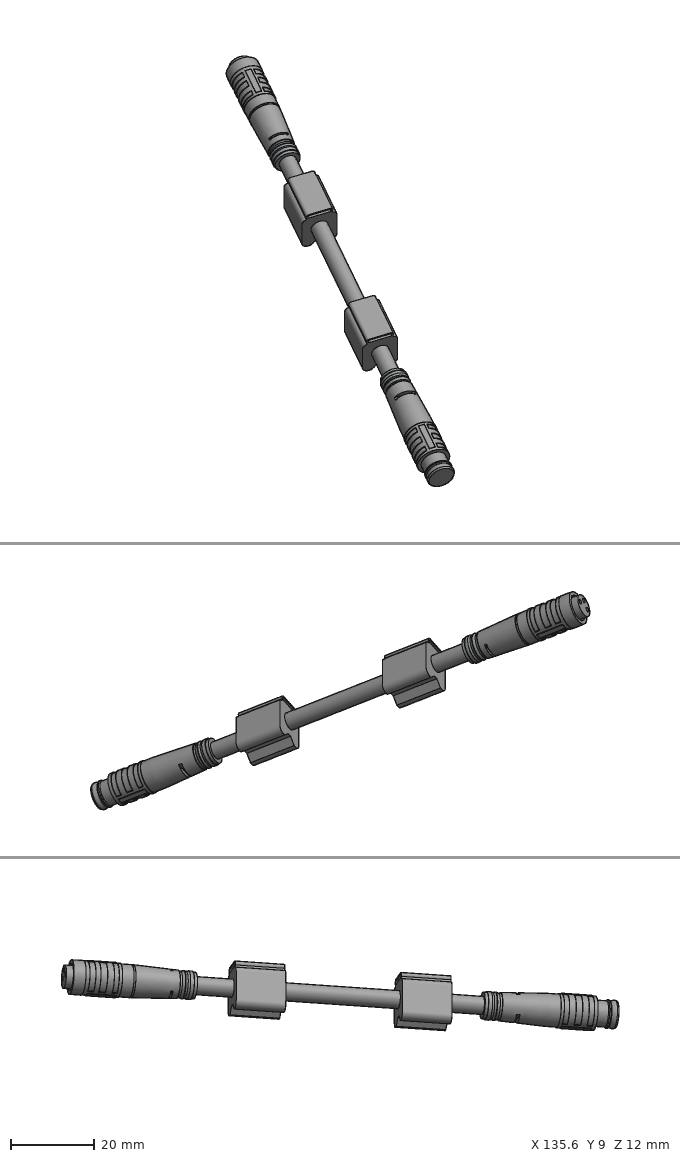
import cadquery as cq
import math

LENGTH = 135.6
OVERLAP = 0.5

CABLE_DIA = 4.4
CLIP_LENGTH = 12.2
CLIP_SPACING = 40.8
CLIP_CENTRES = [(LENGTH - CLIP_SPACING) / 2, (LENGTH + CLIP_SPACING) / 2]
CLIP_WIDTH = 9.0
CLIP_TOP = 6.0
CLIP_BOTTOM = -5.99
SHOULDER_Z = 4.25
SHOULDER_RADIUS = 1.3
FOOT_RADIUS = 1.6
STRAP_WIDTH = 6.9
STRAP_THICKNESS = 0.4
STRAP_RADIUS = 0.8
STRAP_UNDERCUT_ANGLE = 30
WINDOW_FLOOR_Z = 4.7
V_DEPTH = 1.7
V_TOP_WIDTH = 1.1

GRIP_DIA = 8.3
BODY_DIA = 8.0
TAPER_END_DIA = 6.9
NECK_DIA = 6.4
RELIEF_DIA = 6.9

RELIEF_LENGTH = 4.25
RELIEF_TAIL = 0.8
RELIEF_GROOVE = (1.75, 2.85)
RELIEF_GROOVE_DIA = 6.5
RELIEF_BEVEL = (3.0, 3.7)

PAD_WIDTH = 1.5
PAD_HEIGHT = 4.25
GRIP_GROOVE_DIA = 7.9
GROOVE_END_Y = 1.45
NOTCH_FLOOR = 2.55

SOCKET_NOSE_DIA = 5.65
SOCKET_BORE_DIA = 6.47
SOCKET_BORE_DEPTH = 2.0
SOCKET_COLLAR_X = 1.6
SOCKET_BAND_X = 2.85
SOCKET_BAND_DIA = 8.4
SOCKET_GRIP = (4.5, 13.5)
SOCKET_GRIP_GROOVES = [(5.5, 6.95), (8.2, 9.85), (11.5, 12.7)]
SOCKET_SEAM = (16.35, 16.8)
SOCKET_SEAM_DIA = 7.8
SOCKET_NOTCH = (25.75, 26.25)
SOCKET_END_X = 32.1
CONTACT_DIA = 1.1
CONTACT_DEPTH = 3.0
CONTACT_RADIUS = 1.65
CONTACT_ANGLES = [0, 90, 180]

PLUG_START_X = 102.75
PLUG_NOTCH = (110.6, 111.4)
PLUG_TAPER_END_X = 118.35
PLUG_GRIP = (121.2, 130.25)
PLUG_GRIP_GROOVES = [(122.0, 123.25), (124.9, 126.5), (128.1, 129.4)]
PLUG_NOSE_DIA = 6.4
PLUG_LIP_DIA = 6.9
PLUG_LIP = (133.0, 133.85)
PLUG_LIP_BEVEL = 0.25
PLUG_TIP_RAMP = (133.85, 134.7)
PLUG_TIP_END_X = 135.15


def box(x_range, y_range, z_range):
    """Box spanning the given ranges."""
    size = [r[1] - r[0] for r in (x_range, y_range, z_range)]
    corner = (x_range[0], y_range[0], z_range[0])
    return cq.Workplane("XY").box(*size, centered=False).translate(corner)


def rod(x_range, diameter):
    """Cylinder on the cable axis."""
    disc = cq.Workplane("YZ", origin=(x_range[0], 0, 0)).circle(diameter / 2)
    return disc.extrude(x_range[1] - x_range[0])


def tube(x_range, outer_dia, inner_dia):
    """Ring on the cable axis."""
    return rod(x_range, outer_dia).cut(rod(x_range, inner_dia))


def spin(profile):
    """Revolve a closed outline of (x, radius) points about the cable axis."""
    return cq.Workplane("XY").polyline(profile).close().revolve(360, (0, 0, 0), (1, 0, 0))


def cone(x_range, start_dia, end_dia):
    """Truncated cone on the cable axis."""
    start_x, end_x = x_range
    return spin([(start_x, 0), (start_x, start_dia / 2), (end_x, end_dia / 2), (end_x, 0)])


def make_clip(centre_x):
    """Label clip: block with rounded edges, V-notched underside and a label window on top."""
    x_range = (centre_x - CLIP_LENGTH / 2, centre_x + CLIP_LENGTH / 2)
    half_width = CLIP_WIDTH / 2
    half_flat = STRAP_WIDTH / 2 - STRAP_RADIUS
    half_neck = half_flat + STRAP_RADIUS * math.cos(math.radians(STRAP_UNDERCUT_ANGLE))
    half_window = half_neck - STRAP_THICKNESS

    block = box(x_range, (-half_width, half_width), (CLIP_BOTTOM, SHOULDER_Z))
    block = block.edges("|X and >Z").fillet(SHOULDER_RADIUS)
    block = block.edges("|X and <Z").fillet(FOOT_RADIUS)

    strap_mid_z = CLIP_TOP - STRAP_RADIUS
    neck_z = strap_mid_z - STRAP_RADIUS * math.sin(math.radians(STRAP_UNDERCUT_ANGLE))
    root_z = SHOULDER_Z - OVERLAP
    clip_plane = cq.Workplane("YZ", origin=(x_range[0], 0, 0))
    strap = (
        clip_plane.moveTo(-half_flat, CLIP_TOP)
        .lineTo(half_flat, CLIP_TOP)
        .threePointArc((half_flat + STRAP_RADIUS, strap_mid_z), (half_neck, neck_z))
        .lineTo(half_neck, root_z)
        .lineTo(-half_neck, root_z)
        .lineTo(-half_neck, neck_z)
        .threePointArc((-half_flat - STRAP_RADIUS, strap_mid_z), (-half_flat, CLIP_TOP))
        .close()
        .extrude(CLIP_LENGTH)
    )
    window_top = CLIP_TOP - STRAP_THICKNESS
    window = box(x_range, (-half_window, half_window), (WINDOW_FLOOR_Z, window_top))
    window = window.edges("|X and >Z").fillet(STRAP_RADIUS - STRAP_THICKNESS)

    half_v_top = V_TOP_WIDTH / 2
    half_v_bottom = half_v_top + V_DEPTH
    v_outline = [
        (-half_v_bottom, CLIP_BOTTOM),
        (-half_v_top, CLIP_BOTTOM + V_DEPTH),
        (half_v_top, CLIP_BOTTOM + V_DEPTH),
        (half_v_bottom, CLIP_BOTTOM),
    ]
    v_notch = clip_plane.polyline(v_outline).close().extrude(CLIP_LENGTH)
    return block.union(strap).cut(window).cut(v_notch)


def make_grip(x_range, grooves):
    """Grip sleeve with side grooves and a flat pad on its top and bottom."""
    grip = rod(x_range, GRIP_DIA)
    for groove in grooves:
        bridge = box(groove, (-GROOVE_END_Y, GROOVE_END_Y), (-GRIP_DIA, GRIP_DIA))
        grip = grip.cut(tube(groove, GRIP_DIA + OVERLAP, GRIP_GROOVE_DIA).cut(bridge))
    pad_x = (grooves[0][0], grooves[-1][1])
    pad = box(pad_x, (-PAD_WIDTH / 2, PAD_WIDTH / 2), (-PAD_HEIGHT, PAD_HEIGHT))
    return grip.union(pad)


def make_relief(end_x, direction):
    """Grooved strain relief; direction (+1 or -1) points from the cable into the connector."""
    groove_middle = sum(RELIEF_GROOVE) / 2
    profile = [
        (0, 0),
        (0, NECK_DIA / 2),
        (RELIEF_TAIL, NECK_DIA / 2),
        (RELIEF_TAIL, RELIEF_DIA / 2),
        (RELIEF_GROOVE[0], RELIEF_DIA / 2),
        (groove_middle, RELIEF_GROOVE_DIA / 2),
        (RELIEF_GROOVE[1], RELIEF_DIA / 2),
        (RELIEF_BEVEL[0], RELIEF_DIA / 2),
        (RELIEF_BEVEL[1], NECK_DIA / 2),
        (RELIEF_LENGTH + OVERLAP, NECK_DIA / 2),
        (RELIEF_LENGTH + OVERLAP, 0),
    ]
    return spin([(end_x + direction * depth, radius) for depth, radius in profile])


def cut_notches(body, x_range):
    """Cut a flat-bottomed notch across the top and the bottom of a connector body."""
    for z_range in ((NOTCH_FLOOR, BODY_DIA), (-BODY_DIA, -NOTCH_FLOOR)):
        body = body.cut(box(x_range, (-BODY_DIA, BODY_DIA), z_range))
    return body


def make_socket():
    """Socket connector with three contact holes in its nose."""
    nose = rod((0, SOCKET_GRIP[0] + OVERLAP), SOCKET_NOSE_DIA)
    for angle in CONTACT_ANGLES:
        y = CONTACT_RADIUS * math.cos(math.radians(angle))
        z = CONTACT_RADIUS * math.sin(math.radians(angle))
        hole = cq.Workplane("YZ").center(y, z).circle(CONTACT_DIA / 2).extrude(CONTACT_DEPTH)
        nose = nose.cut(hole)

    collar = cone((SOCKET_COLLAR_X, SOCKET_BAND_X), GRIP_DIA, SOCKET_BAND_DIA)
    collar = collar.union(rod((SOCKET_BAND_X, SOCKET_GRIP[0]), SOCKET_BAND_DIA))
    bore_x = (SOCKET_COLLAR_X, SOCKET_COLLAR_X + SOCKET_BORE_DEPTH)
    collar = collar.cut(rod(bore_x, SOCKET_BORE_DIA))

    taper_end_x = SOCKET_END_X - RELIEF_LENGTH
    body = rod((SOCKET_GRIP[1], SOCKET_SEAM[1]), BODY_DIA)
    body = body.cut(tube(SOCKET_SEAM, BODY_DIA + OVERLAP, SOCKET_SEAM_DIA))
    taper = cone((SOCKET_SEAM[1], taper_end_x), BODY_DIA, TAPER_END_DIA)
    body = cut_notches(body.union(taper), SOCKET_NOTCH)

    grip = make_grip(SOCKET_GRIP, SOCKET_GRIP_GROOVES)
    relief = make_relief(SOCKET_END_X, -1)
    return collar.union(grip).union(nose).union(body).union(relief)


def make_plug():
    """Plug connector with a snap lip and a ramped tip on its nose."""
    taper_x = (PLUG_START_X + RELIEF_LENGTH, PLUG_TAPER_END_X)
    body = cone(taper_x, TAPER_END_DIA, BODY_DIA)
    body = body.union(rod((PLUG_TAPER_END_X, PLUG_GRIP[0]), BODY_DIA))
    body = cut_notches(body, PLUG_NOTCH)

    nose = rod((PLUG_GRIP[1] - OVERLAP, LENGTH), PLUG_NOSE_DIA)
    lip = rod(PLUG_LIP, PLUG_LIP_DIA).faces("<X or >X").edges().chamfer(PLUG_LIP_BEVEL)
    ramp = cone(PLUG_TIP_RAMP, PLUG_NOSE_DIA, PLUG_LIP_DIA)
    tip = rod((PLUG_TIP_RAMP[1], PLUG_TIP_END_X), PLUG_LIP_DIA)
    tip_bevel = cone((PLUG_TIP_END_X, LENGTH), PLUG_LIP_DIA, PLUG_NOSE_DIA)
    nose = nose.union(lip).union(ramp).union(tip).union(tip_bevel)

    grip = make_grip(PLUG_GRIP, PLUG_GRIP_GROOVES)
    relief = make_relief(PLUG_START_X, 1)
    return body.union(grip).union(nose).union(relief)


result = rod((SOCKET_END_X - OVERLAP, PLUG_START_X + OVERLAP), CABLE_DIA)
result = result.union(make_socket()).union(make_plug())
for clip_centre in CLIP_CENTRES:
    result = result.union(make_clip(clip_centre))